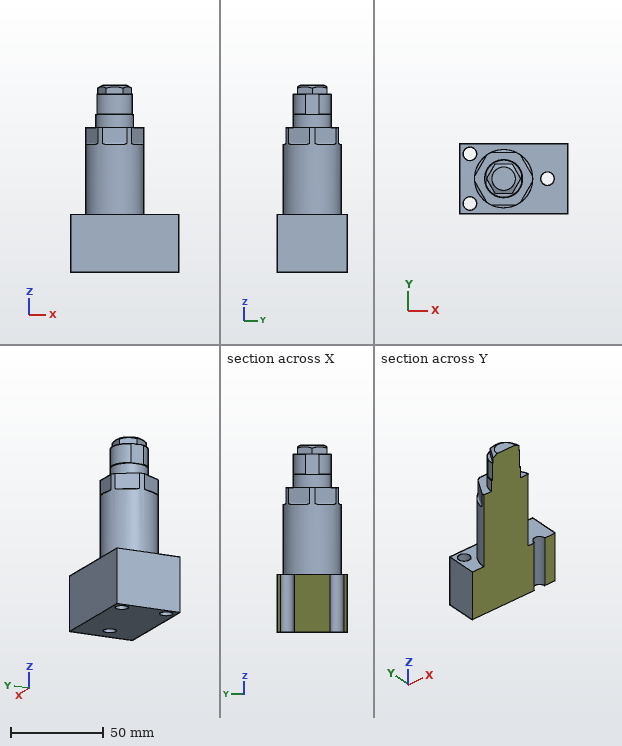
import cadquery as cq
import math

block_length = 58.7
block_width = 38.1
block_height = 31.5
axis_from_left = 23.9

hole_diameter = 7.2
paired_hole_from_left = 5.6
paired_hole_spacing = 26.9
single_hole_from_left = 47.7

body_diameter = 31.6
body_top = 78.5
flat_bottom = 69.4
flat_width = 28.7
flat_fillet = 0.9

collar_diameter = 20.7
collar_top = 85.5
cap_top = 96.7
cap_flat_width = 19.3
cap_edge_chamfer = 0.3

nut_width = 16.1
nut_top = 101.6
nut_face_diameter = 12.7
nut_chamfer_angle = 30.0


def across_corners(width_across_flats):
    return width_across_flats / math.cos(math.pi / 6)


def make_block():
    left = -axis_from_left
    block = cq.Workplane("XY").box(block_length, block_width, block_height, centered=(False, True, False))
    block = block.translate((left, 0, 0))
    hole_centers = [
        (left + paired_hole_from_left, paired_hole_spacing / 2),
        (left + paired_hole_from_left, -paired_hole_spacing / 2),
        (left + single_hole_from_left, 0),
    ]
    holes = cq.Workplane("XY").pushPoints(hole_centers).circle(hole_diameter / 2).extrude(block_height)
    return block.cut(holes)


def make_body():
    body = cq.Workplane("XY").workplane(offset=block_height)
    body = body.circle(body_diameter / 2).extrude(body_top - block_height)
    cutter = cq.Workplane("XY").box(
        body_diameter, body_diameter, body_top - flat_bottom, centered=(True, False, False)
    )
    cutter = cutter.edges("<Y and <Z").fillet(flat_fillet)
    cutter = cutter.translate((0, flat_width / 2, flat_bottom))
    for index in range(6):
        body = body.cut(cutter.rotate((0, 0, 0), (0, 0, 1), index * 60))
    return body


def make_cap():
    collar = cq.Workplane("XY").workplane(offset=body_top)
    collar = collar.circle(collar_diameter / 2).extrude(collar_top - body_top)
    cap = cq.Workplane("XY").workplane(offset=collar_top)
    cap = cap.circle(collar_diameter / 2).extrude(cap_top - collar_top)
    cap = cap.faces("<Z or >Z").chamfer(cap_edge_chamfer)
    slab = cq.Workplane("XY").box(cap_flat_width, body_diameter, nut_top, centered=(True, True, False))
    return collar.union(cap.intersect(slab))


def make_nut():
    corner_diameter = across_corners(nut_width)
    nut = cq.Workplane("XY").workplane(offset=cap_top)
    nut = nut.polygon(6, corner_diameter).extrude(nut_top - cap_top)
    corner_radius = corner_diameter / 2
    face_radius = nut_face_diameter / 2
    chamfer_drop = (corner_radius - face_radius) * math.tan(math.radians(nut_chamfer_angle))
    envelope = (
        cq.Workplane("XZ")
        .moveTo(0, cap_top)
        .lineTo(corner_radius, cap_top)
        .lineTo(corner_radius, nut_top - chamfer_drop)
        .lineTo(face_radius, nut_top)
        .lineTo(0, nut_top)
        .close()
        .revolve()
    )
    return nut.intersect(envelope)


result = make_block().union(make_body()).union(make_cap()).union(make_nut())